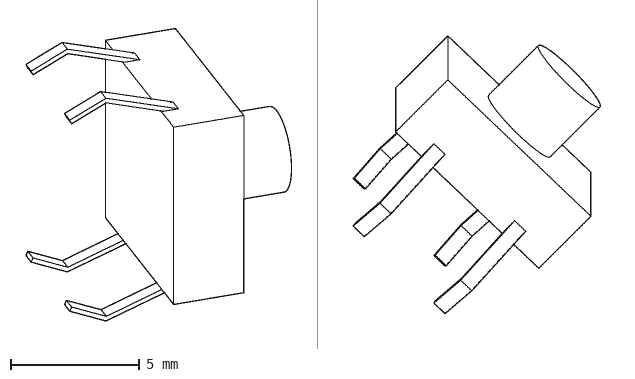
import cadquery as cq

housing_side = 7.8
housing_depth = 2.91
housing_half = housing_side / 2
housing_back = housing_depth / 2
housing_front = -housing_depth / 2

button_diameter = 3.4
button_length = 2.78

overall_height = 9.8
overall_depth = 9.5
leg_width = 0.61
leg_spacing = 4.4
leg_root_setback = 0.71
leg_foot_length = 0.63
leg_tip_y = housing_back + button_length - overall_depth
leg_bend_y = housing_front - 2.3
leg_bend_z = overall_height / 2
leg_bend_step_y = 0.02
leg_bend_step_z = 0.21
leg_tip_outer_z = 4.2
leg_tip_step_y = 0.08
leg_tip_step_z = 0.18


def make_housing_block():
    return cq.Workplane("XY").box(housing_side, housing_depth, housing_side)


def make_upper_leg(center_x):
    """Bent strip on the +Z face, drawn in the YZ plane and extruded along X."""
    return (
        cq.Workplane("YZ", origin=(center_x - leg_width / 2, 0, 0))
        .moveTo(housing_front + leg_root_setback, housing_half)
        .lineTo(leg_bend_y, leg_bend_z)
        .lineTo(leg_tip_y, leg_tip_outer_z)
        .lineTo(leg_tip_y + leg_tip_step_y, leg_tip_outer_z - leg_tip_step_z)
        .lineTo(leg_bend_y + leg_bend_step_y, leg_bend_z - leg_bend_step_z)
        .lineTo(housing_front + leg_root_setback - leg_foot_length, housing_half)
        .close()
        .extrude(leg_width)
    )


def make_housing():
    """Housing block with its two upper and two mirrored lower legs."""
    housing = make_housing_block()
    for side in (-1, 1):
        leg = make_upper_leg(side * leg_spacing / 2)
        housing = housing.union(leg).union(leg.mirror("XY"))
    return housing


def make_button():
    """Round button standing on the +Y face of the housing."""
    face_plane = cq.Plane(origin=(0, housing_back, 0), xDir=(1, 0, 0), normal=(0, 1, 0))
    return cq.Workplane(face_plane).circle(button_diameter / 2).extrude(button_length)


housing = make_housing()
button = make_button()

result = cq.Compound.makeCompound([housing.val(), button.val()])